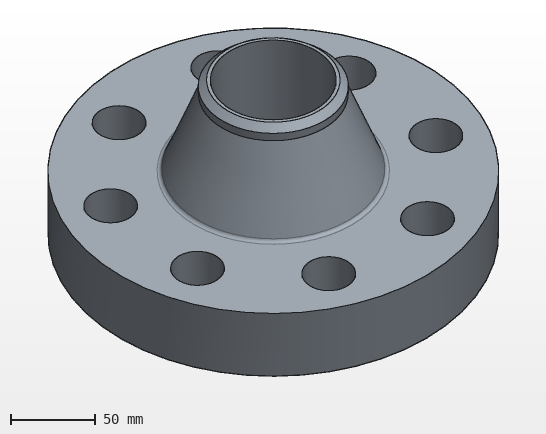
import cadquery as cq

flange_diameter = 266.5
flange_thickness = 48.0

bolt_hole_count = 8
bolt_hole_diameter = 31.7
bolt_circle_diameter = 203.2

total_height = 117.3
neck_base_diameter = 133.3
neck_end_diameter = 88.8
neck_end_length = 10.0
bevel_height = 4.5
land_diameter = 79.0
bore_diameter = 74.5

root_fillet_radius = 3.0


def revolved_body():
    """Flange plate and tapered neck, turned about Z."""
    profile = (
        cq.Workplane("XZ")
        .lineTo(flange_diameter / 2, 0)
        .lineTo(flange_diameter / 2, flange_thickness)
        .lineTo(neck_base_diameter / 2, flange_thickness)
        .lineTo(neck_end_diameter / 2, total_height - neck_end_length)
        .lineTo(neck_end_diameter / 2, total_height - bevel_height)
        .lineTo(land_diameter / 2, total_height)
        .lineTo(0, total_height)
        .close()
    )
    return profile.revolve(360, (0, 0, 0), (0, 1, 0))


def round_neck_root(body):
    """Fillet the circle where the neck meets the flange face."""
    reach = neck_base_diameter / 2 + root_fillet_radius
    margin = 0.3
    root_edge = cq.selectors.BoxSelector(
        (-reach, -reach, flange_thickness - margin),
        (reach, reach, flange_thickness + margin),
        boundingbox=True,
    )
    return body.edges(root_edge).fillet(root_fillet_radius)


def bolt_holes():
    """Through holes evenly spaced on the bolt circle, the first on the X axis."""
    return (
        cq.Workplane("XY")
        .polarArray(bolt_circle_diameter / 2, 0, 360, bolt_hole_count)
        .circle(bolt_hole_diameter / 2)
        .extrude(flange_thickness)
    )


def bore():
    """Straight bore through the whole part."""
    return cq.Workplane("XY").circle(bore_diameter / 2).extrude(total_height)


result = round_neck_root(revolved_body()).cut(bolt_holes()).cut(bore())